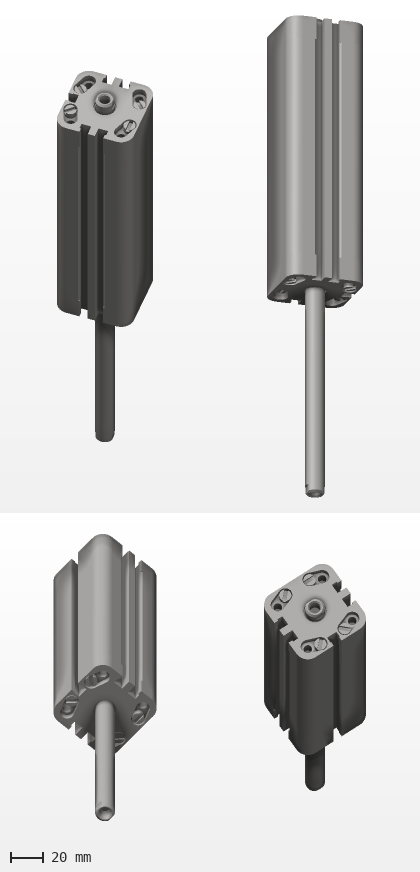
import cadquery as cq

TOTAL_LENGTH = 307.0
WIDTH = 49.0
WALL = WIDTH / 2
CORNER_RADIUS = 8.3
ROD_STUB = 7.0
CAP_LENGTH = 14.0
HOUSING_LENGTH = 168.0

HOUSING_TOP = TOTAL_LENGTH - ROD_STUB
HOUSING_BOTTOM = HOUSING_TOP - HOUSING_LENGTH
BARREL_BOTTOM = HOUSING_BOTTOM + CAP_LENGTH
BARREL_LENGTH = HOUSING_LENGTH - 2 * CAP_LENGTH

GROOVE_DEPTH = 6.5
LIP_THICKNESS = 2.8
RIB_WIDTH = 4.5
MOUTH_EDGE = 7.7
UNDERCUT_EDGE = 8.5
BARREL_MOUTH_CHAMFER = 1.0
SIDE_MOUTH_WIDTH = 5.8
SIDE_UNDERCUT_WIDTH = 6.8

ROD_DIAMETER = 12.0
ROD_CHAMFER = 1.2
FLAT_WIDTH = 10.5
FLAT_LENGTH = 5.0
ROD_HOLE_DIAMETER = 6.8
ROD_HOLE_DEPTH = 9.2
ROD_HOLE_CHAMFER = 1.0

ROD_RECESS_DIAMETER = 13.8
ROD_RECESS_DEPTH = 1.5

BOLT_OFFSET = 16.3
BOLT_HOLE_DIAMETER = 5.2
POCKET_WIDTH = 8.5
POCKET_DEPTH = 4.5
SCREW_X = 19.0
SCREW_Y = 9.0
SCREW_HEAD_DIAMETER = 7.5
SCREW_HEAD_HEIGHT = 4.0
SCREW_SLOT_WIDTH = 2.5
SCREW_SLOT_DEPTH = 1.8

SCREW_SLOT_ANGLES = {(-1, 1): -45, (1, 1): -45, (-1, -1): 45, (1, -1): 90}


def at_height(z):
    """Horizontal workplane at the given height."""
    return cq.Workplane("XY").workplane(offset=z)


def wall_groove(bottom, length, mouth_chamfer):
    """Cutter for the +X groove of the -Y wall, undercut only on the side away from the rib."""
    groove = (
        at_height(bottom)
        .moveTo(RIB_WIDTH / 2, -WALL)
        .lineTo(MOUTH_EDGE, -WALL)
        .lineTo(MOUTH_EDGE, -WALL + LIP_THICKNESS)
        .lineTo(UNDERCUT_EDGE, -WALL + LIP_THICKNESS)
        .lineTo(UNDERCUT_EDGE, -WALL + GROOVE_DEPTH)
        .lineTo(RIB_WIDTH / 2, -WALL + GROOVE_DEPTH)
        .close()
        .extrude(length)
    )
    if mouth_chamfer:
        chamfer = (
            at_height(bottom)
            .moveTo(MOUTH_EDGE, -WALL)
            .lineTo(MOUTH_EDGE + mouth_chamfer, -WALL)
            .lineTo(MOUTH_EDGE, -WALL + mouth_chamfer)
            .close()
            .extrude(length)
        )
        groove = groove.union(chamfer)
    return groove


def side_groove(bottom, length):
    """Cutter for the T-shaped groove in the middle of the -X wall."""
    floor = -WALL + GROOVE_DEPTH
    undercut_depth = GROOVE_DEPTH - LIP_THICKNESS
    mouth = (
        at_height(bottom)
        .center(floor - GROOVE_DEPTH / 2, 0)
        .rect(GROOVE_DEPTH, SIDE_MOUTH_WIDTH)
        .extrude(length)
    )
    undercut = (
        at_height(bottom)
        .center(floor - undercut_depth / 2, 0)
        .rect(undercut_depth, SIDE_UNDERCUT_WIDTH)
        .extrude(length)
    )
    return mouth.union(undercut)


def housing_block(bottom, length, mouth_chamfer=0):
    """Rounded square block with its wall grooves and the rod bore."""
    block = at_height(bottom).rect(WIDTH, WIDTH).extrude(length).edges("|Z").fillet(CORNER_RADIUS)
    groove = wall_groove(bottom, length, mouth_chamfer)
    groove_pair = groove.union(groove.mirror("YZ"))
    rod_bore = at_height(bottom).circle(ROD_DIAMETER / 2).extrude(length)
    return (
        block.cut(groove_pair)
        .cut(groove_pair.mirror("XZ"))
        .cut(side_groove(bottom, length))
        .cut(rod_bore)
    )


def corner_pocket(x_side, y_side):
    """Cutter for a round-ended pocket with a bolt hole through the upper cap."""
    bolt = cq.Vector(x_side * BOLT_OFFSET, y_side * BOLT_OFFSET)
    screw = cq.Vector(x_side * SCREW_X, y_side * SCREW_Y)
    reach = screw - bolt
    middle = (bolt + screw) * 0.5
    direction = cq.Plane(origin=(middle.x, middle.y, HOUSING_TOP), xDir=reach.toTuple(), normal=(0, 0, 1))
    pocket = (
        cq.Workplane(direction)
        .slot2D(reach.Length + POCKET_WIDTH, POCKET_WIDTH)
        .extrude(-POCKET_DEPTH)
    )
    hole = (
        at_height(HOUSING_TOP)
        .center(bolt.x, bolt.y)
        .circle(BOLT_HOLE_DIAMETER / 2)
        .extrude(-CAP_LENGTH)
    )
    return pocket.union(hole)


def screw_head(x_side, y_side, slot_angle):
    """Slotted screw head standing on the floor of a corner pocket."""
    centre = (x_side * SCREW_X, y_side * SCREW_Y)
    floor = HOUSING_TOP - POCKET_DEPTH
    slot_floor = floor + SCREW_HEAD_HEIGHT - SCREW_SLOT_DEPTH
    head = at_height(floor).center(*centre).circle(SCREW_HEAD_DIAMETER / 2).extrude(SCREW_HEAD_HEIGHT)
    slot = (
        at_height(slot_floor)
        .center(*centre)
        .transformed(rotate=(0, 0, slot_angle))
        .rect(2 * SCREW_HEAD_DIAMETER, SCREW_SLOT_WIDTH)
        .extrude(SCREW_SLOT_DEPTH)
    )
    return head.cut(slot)


def make_upper_cap():
    """End cap with a recess around the rod and a pocket in each corner."""
    cap = housing_block(HOUSING_TOP - CAP_LENGTH, CAP_LENGTH)
    cap = cap.cut(at_height(HOUSING_TOP).circle(ROD_RECESS_DIAMETER / 2).extrude(-ROD_RECESS_DEPTH))
    for (x_side, y_side), slot_angle in SCREW_SLOT_ANGLES.items():
        cap = cap.cut(corner_pocket(x_side, y_side))
        cap = cap.union(screw_head(x_side, y_side, slot_angle))
    return cap


def make_lower_cap():
    """Upper cap turned over to the other end of the barrel."""
    return make_upper_cap().mirror("XY").translate((0, 0, HOUSING_TOP + HOUSING_BOTTOM))


def make_barrel():
    """Grooved profile between the caps, with the groove mouths of its Y walls chamfered."""
    return housing_block(BARREL_BOTTOM, BARREL_LENGTH, BARREL_MOUTH_CHAMFER)


def rod_end_cutter():
    """Cutter for the lower rod end: two flats with sloped run-outs, and a countersunk hole."""
    rod_radius = ROD_DIAMETER / 2
    run_out = rod_radius - FLAT_WIDTH / 2
    flat = (
        cq.Workplane("XZ")
        .moveTo(FLAT_WIDTH / 2, 0)
        .lineTo(FLAT_WIDTH / 2, FLAT_LENGTH)
        .lineTo(rod_radius, FLAT_LENGTH + run_out)
        .lineTo(rod_radius, 0)
        .close()
        .extrude(rod_radius, both=True)
    )
    hole_radius = ROD_HOLE_DIAMETER / 2
    hole = (
        cq.Workplane("XZ")
        .lineTo(hole_radius + ROD_HOLE_CHAMFER, 0)
        .lineTo(hole_radius, ROD_HOLE_CHAMFER)
        .lineTo(hole_radius, ROD_HOLE_DEPTH)
        .lineTo(0, ROD_HOLE_DEPTH)
        .close()
        .revolve(360, (0, 0), (0, 1))
    )
    return flat.union(flat.mirror("YZ")).union(hole)


def make_rod():
    """Piston rod that passes through the whole housing."""
    rod = cq.Workplane("XY").circle(ROD_DIAMETER / 2).extrude(TOTAL_LENGTH)
    rod = rod.faces("<Z or >Z").chamfer(ROD_CHAMFER)
    lower_end = rod_end_cutter()
    upper_end = lower_end.mirror("XY").translate((0, 0, TOTAL_LENGTH))
    return rod.cut(lower_end).cut(upper_end)


barrel = make_barrel()
upper_cap = make_upper_cap()
lower_cap = make_lower_cap()
rod = make_rod()

result = cq.Compound.makeCompound([barrel.val(), upper_cap.val(), lower_cap.val(), rod.val()])